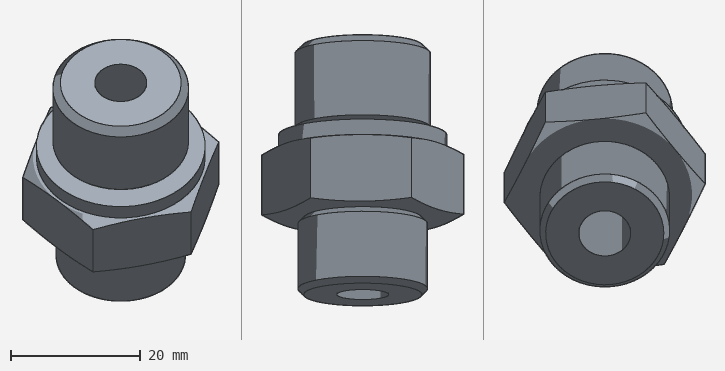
import cadquery as cq
import math

total_height = 39.0
hex_bottom = 12.0
hex_top = 22.5
collar_top = 25.0

bore_diameter = 8.0
lower_diameter = 20.0
upper_diameter = 20.95
collar_diameter = 26.0
hex_across_flats = 27.0
hex_across_corners = hex_across_flats / math.cos(math.pi / 6)

lower_chamfer = 0.9
upper_chamfer = 1.17
hex_chamfer_angle = math.radians(15)


def chamfered_stud(diameter, bottom, top, chamfer):
    """Cylindrical stud with both end edges chamfered at 45 degrees."""
    stud = cq.Workplane("XY").workplane(offset=bottom).circle(diameter / 2).extrude(top - bottom)
    return stud.faces("<Z or >Z").chamfer(chamfer)


def hex_nut():
    """Hexagon with corners on Y, trimmed by shallow cones at both ends."""
    height = hex_top - hex_bottom
    prism = (
        cq.Workplane("XY")
        .workplane(offset=hex_bottom)
        .polygon(6, hex_across_corners)
        .extrude(height)
        .rotate((0, 0, 0), (0, 0, 1), 90)
    )
    flat_radius = hex_across_flats / 2
    corner_radius = hex_across_corners / 2
    corner_drop = (corner_radius - flat_radius) * math.tan(hex_chamfer_angle)
    envelope = (
        cq.Workplane("XZ")
        .moveTo(0, hex_bottom)
        .lineTo(flat_radius, hex_bottom)
        .lineTo(corner_radius, hex_bottom + corner_drop)
        .lineTo(corner_radius, hex_top - corner_drop)
        .lineTo(flat_radius, hex_top)
        .lineTo(0, hex_top)
        .close()
        .revolve(360, (0, 0, 0), (0, 1, 0))
    )
    return prism.intersect(envelope)


lower_stud = chamfered_stud(lower_diameter, 0, hex_bottom, lower_chamfer)
upper_stud = chamfered_stud(upper_diameter, collar_top, total_height, upper_chamfer)
collar = (
    cq.Workplane("XY")
    .workplane(offset=hex_top)
    .circle(collar_diameter / 2)
    .extrude(collar_top - hex_top)
)
bore = cq.Workplane("XY").circle(bore_diameter / 2).extrude(total_height)

result = hex_nut().union(lower_stud).union(collar).union(upper_stud).cut(bore)